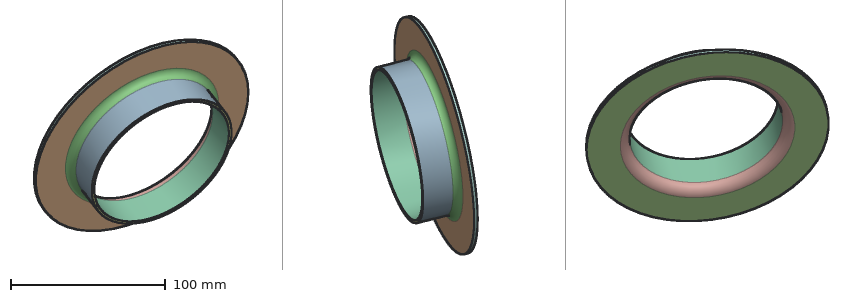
import cadquery as cq
import math

flange_diameter = 158.0
flange_thickness = 2.5
collar_diameter = 104.0
bore_diameter = 100.0
length = 28.0
outer_bend_radius = 5.0
mouth_bend_radius = 7.0

flange_radius = flange_diameter / 2
collar_radius = collar_diameter / 2
bore_radius = bore_diameter / 2


def quarter_bend_middle(face_x, wall_radius, bend_radius):
    """Middle of a quarter arc running from a flat face at face_x into a wall at wall_radius."""
    offset = bend_radius * (1 - math.sqrt(0.5))
    return (face_x + offset, wall_radius + offset)


section = (
    cq.Workplane("XY")
    .moveTo(0, flange_radius)
    .lineTo(0, bore_radius + mouth_bend_radius)
    .threePointArc(
        quarter_bend_middle(0, bore_radius, mouth_bend_radius),
        (mouth_bend_radius, bore_radius),
    )
    .lineTo(length, bore_radius)
    .lineTo(length, collar_radius)
    .lineTo(flange_thickness + outer_bend_radius, collar_radius)
    .threePointArc(
        quarter_bend_middle(flange_thickness, collar_radius, outer_bend_radius),
        (flange_thickness, collar_radius + outer_bend_radius),
    )
    .lineTo(flange_thickness, flange_radius)
    .close()
)

result = section.revolve(360, (0, 0, 0), (1, 0, 0))